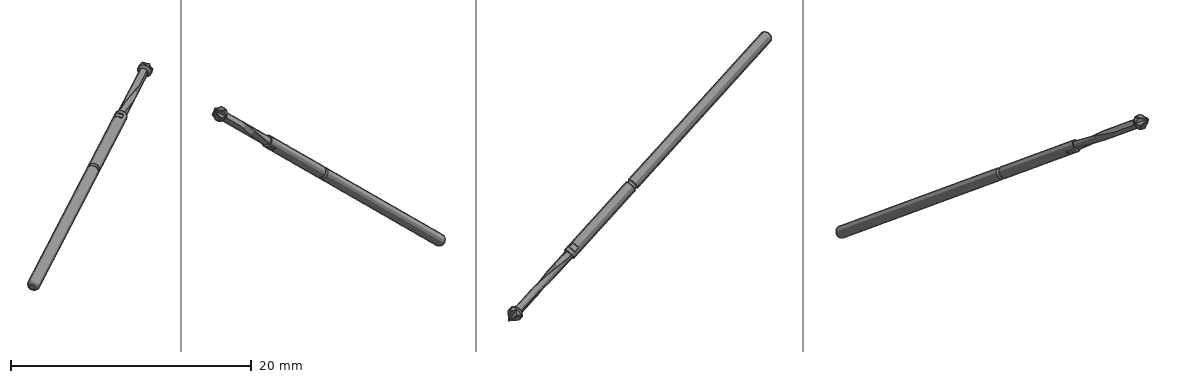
import math

import cadquery as cq


head_radius = 0.6
ridge_count = 6
rim_y = -1.05
ridge_half_angle = 45.0
valley_exit_y = -0.97

shaft_radius = 0.39
flat_to_flat = 0.6
flats_start_y = -1.33
twist_start_y = -3.45
twist_end_y = -7.5
twist_angle = 90.0

barrel_radius = 0.515
barrel_start_y = -7.7
tail_y = -33.1
tail_round_length = 0.45
tail_flat_radius = 0.25

recess_front_y = -8.05
recess_length = 0.5
recess_floor = 0.405

groove_y = -15.68
groove_width = 0.3
groove_depth = 0.1

neck_end_y = rim_y - (head_radius - shaft_radius)


def cylinder(radius, start_y, end_y):
    """Round bar on the Y axis running back from start_y to end_y."""
    return cq.Workplane("XZ", origin=(0, start_y, 0)).circle(radius).extrude(start_y - end_y)


def polar_point(radius, angle, y):
    """Point at a given radius and angle (degrees from +X towards +Z) at station y."""
    turn = math.radians(angle)
    return cq.Vector(radius * math.cos(turn), y, radius * math.sin(turn))


def flat_face(points):
    """Planar face bounded by straight edges through the points."""
    return cq.Face.makeFromWires(cq.Wire.makePolygon(points, close=True))


def make_star_pyramid():
    """Pyramid with its apex at the tip and a star-shaped base in the rim plane."""
    ridge_base = -rim_y * math.tan(math.radians(ridge_half_angle))
    valley_base = head_radius * rim_y / valley_exit_y
    half_pitch = 180.0 / ridge_count

    star = []
    for i in range(ridge_count):
        ridge_angle = 2 * half_pitch * i
        star.append(polar_point(ridge_base, ridge_angle, rim_y))
        star.append(polar_point(valley_base, ridge_angle + half_pitch, rim_y))

    apex = cq.Vector(0, 0, 0)
    faces = [flat_face(star)]
    for i in range(len(star)):
        faces.append(flat_face([apex, star[i - 1], star[i]]))
    return cq.Workplane(obj=cq.Solid.makeSolid(cq.Shell.makeShell(faces)))


def make_head():
    """Star pyramid trimmed to the head diameter, with the conical neck behind it."""
    point = make_star_pyramid().intersect(cylinder(head_radius, 0, rim_y))
    neck = (
        cq.Workplane("XY")
        .moveTo(0, rim_y)
        .lineTo(head_radius, rim_y)
        .lineTo(shaft_radius, neck_end_y)
        .lineTo(0, neck_end_y)
        .close()
        .revolve(360, (0, 0), (0, 1))
    )
    return point.union(neck)


def make_shaft():
    """Round bar with two flats: straight, then a quarter twist, then straight into the barrel."""
    bar_width = 3 * shaft_radius
    front = cq.Workplane("XZ", origin=(0, flats_start_y, 0)).rect(flat_to_flat, bar_width)
    twist = cq.Workplane("XZ", origin=(0, twist_start_y, 0)).rect(flat_to_flat, bar_width)
    rear = cq.Workplane("XZ", origin=(0, twist_end_y, 0)).rect(bar_width, flat_to_flat)

    sections = [
        (front.extrude(flats_start_y - twist_start_y), flats_start_y, twist_start_y),
        (twist.twistExtrude(twist_start_y - twist_end_y, twist_angle), twist_start_y, twist_end_y),
        (rear.extrude(twist_end_y - barrel_start_y), twist_end_y, barrel_start_y),
    ]
    shaft = cq.Workplane("XZ").add(cylinder(shaft_radius, neck_end_y, flats_start_y))
    for strip, start_y, end_y in sections:
        shaft = shaft.add(strip.intersect(cylinder(shaft_radius, start_y, end_y)))
    return shaft.combine()


def make_barrel():
    """Turned barrel with a round-bottomed ring groove and a rounded tail ending in a small flat."""
    groove_front_y = groove_y + groove_width / 2
    groove_rear_y = groove_y - groove_width / 2
    groove_radius = barrel_radius - groove_depth
    round_y = tail_y + tail_round_length
    diagonal = math.sqrt(0.5)
    arc_middle = (
        tail_flat_radius + (barrel_radius - tail_flat_radius) * diagonal,
        round_y - tail_round_length * diagonal,
    )
    return (
        cq.Workplane("XY")
        .moveTo(0, barrel_start_y)
        .lineTo(barrel_radius, barrel_start_y)
        .lineTo(barrel_radius, groove_front_y)
        .threePointArc((groove_radius, groove_y), (barrel_radius, groove_rear_y))
        .lineTo(barrel_radius, round_y)
        .threePointArc(arc_middle, (tail_flat_radius, tail_y))
        .lineTo(0, tail_y)
        .close()
        .revolve(360, (0, 0), (0, 1))
    )


def make_recesses():
    """Two blocks that cut the flat recesses into the +Z and -Z sides of the barrel."""
    block_height = barrel_radius
    middle_y = recess_front_y - recess_length / 2
    middle_z = recess_floor + block_height / 2
    recesses = cq.Workplane("XY")
    for side in (1, -1):
        block = cq.Workplane("XY").box(2 * barrel_radius, recess_length, block_height)
        recesses = recesses.add(block.translate((0, middle_y, side * middle_z)))
    return recesses.combine()


barrel = make_barrel().cut(make_recesses())
result = make_head().union(make_shaft()).union(barrel)